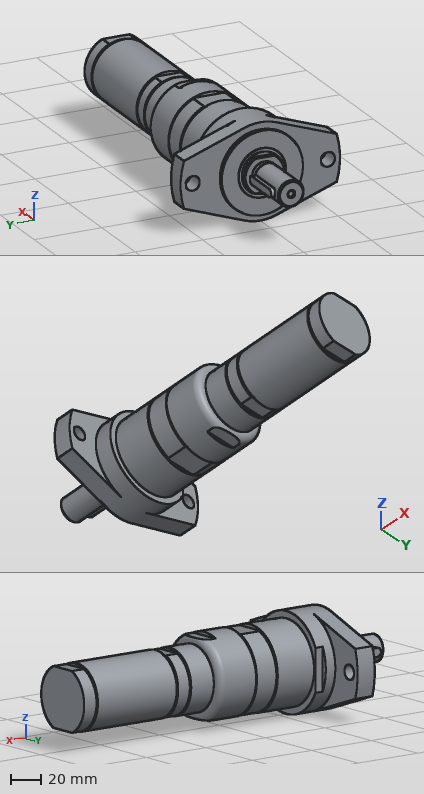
import cadquery as cq
import math

SHAFT_NECK_X = 36.0
COLLAR_X = 40.0
PILOT_X = 43.5
FLANGE_X = 46.5
FLANGE_END_X = 61.0
PORT_END_X = 69.0
HUB_END_X = 75.0
FRONT_FLAT_X = 105.5
FRONT_FLAT_END_X = 123.5
REAR_FLAT_X = 144.0
BODY_END_X = 154.0
MIDDLE_FLAT_X = 173.0
MIDDLE_FLAT_END_X = 185.0
END_FLAT_X = 251.5
TOTAL_LENGTH = 263.0

SHAFT_DIA = 19.0
SHAFT_NECK_DIA = 18.8
SHAFT_CHAMFER = 1.0
KEY_X = 5.0
KEY_LENGTH = 32.0
KEY_WIDTH = 6.0
KEY_TOP_Y = 12.5
KEY_BOTTOM_Y = 6.0
CENTRE_HOLE_DIA = 4.13
CENTRE_HOLE_DEPTH = 10.0
CENTRE_CONE_DIA = 5.5
DRILL_POINT_ANGLE = 118.0

COLLAR_DIA = 29.95
COLLAR_CHAMFER = 0.8
COLLAR_FLATS = 24.6
COLLAR_RECESS_DIA = 35.0
COLLAR_RECESS_DEPTH = 0.5

FLANGE_SPAN = 118.0
FLANGE_END_HALF_HEIGHT = 17.0
HUB_DIA = 70.0
HUB_CUT_Y = 31.5
BOLT_SPACING = 100.0
BOLT_HOLE_DIA = 10.3

BODY_DIA = 60.0
BODY_END_FILLET = 5.0
BODY_FLATS = 55.0

MOTOR_DIA = 46.5
MOTOR_FLATS = 42.0

GROOVE_WIDTH = 1.0
NARROW_GROOVE_WIDTH = 0.5
GROOVE_DEPTH = 0.25


def cylinder(x_start, x_end, diameter):
    return cq.Workplane("YZ", origin=(x_start, 0, 0)).circle(diameter / 2).extrude(x_end - x_start)


def block(x_start, x_end, y_start, y_end, z_start, z_end):
    size = (x_end - x_start, y_end - y_start, z_end - z_start)
    return cq.Workplane("XY", origin=(x_start, y_start, z_start)).box(*size, centered=False)


def cut_flats(body, x_start, x_end, across_flats, diameter):
    """Cut two opposite flats, facing +Z and -Z, over a length of a round body."""
    radius = diameter / 2
    upper = block(x_start, x_end, -radius, radius, across_flats / 2, radius)
    lower = block(x_start, x_end, -radius, radius, -radius, -across_flats / 2)
    return body.cut(upper).cut(lower)


def cut_groove(body, x_start, diameter, width=GROOVE_WIDTH):
    """Cut a shallow ring groove into a round body."""
    x_end = x_start + width
    ring = cylinder(x_start, x_end, diameter).cut(cylinder(x_start, x_end, diameter - 2 * GROOVE_DEPTH))
    return body.cut(ring)


def make_flange():
    """Two-bolt flange: a hub-sized circle joined by tangent lines to wide rounded ends."""
    hub_radius = HUB_DIA / 2
    end_radius = FLANGE_SPAN / 2
    corner_z = FLANGE_END_HALF_HEIGHT
    corner_y = math.sqrt(end_radius**2 - corner_z**2)
    tangent_angle = math.atan2(corner_z, corner_y) + math.acos(hub_radius / end_radius)
    tangent_y = hub_radius * math.cos(tangent_angle)
    tangent_z = hub_radius * math.sin(tangent_angle)
    outline = (
        cq.Workplane("YZ", origin=(FLANGE_X, 0, 0))
        .moveTo(corner_y, -corner_z)
        .threePointArc((end_radius, 0), (corner_y, corner_z))
        .lineTo(tangent_y, tangent_z)
        .threePointArc((0, hub_radius), (-tangent_y, tangent_z))
        .lineTo(-corner_y, corner_z)
        .threePointArc((-end_radius, 0), (-corner_y, -corner_z))
        .lineTo(-tangent_y, -tangent_z)
        .threePointArc((0, -hub_radius), (tangent_y, -tangent_z))
        .close()
    )
    plate = outline.extrude(FLANGE_END_X - FLANGE_X)
    bolt_holes = (
        cq.Workplane("YZ", origin=(FLANGE_X, 0, 0))
        .pushPoints([(-BOLT_SPACING / 2, 0), (BOLT_SPACING / 2, 0)])
        .circle(BOLT_HOLE_DIA / 2)
        .extrude(FLANGE_END_X - FLANGE_X)
    )
    return plate.cut(bolt_holes)


def make_hub():
    """Round hub behind the flange, stepped back to a flat on the +Y side."""
    hub = cylinder(FLANGE_END_X, HUB_END_X, HUB_DIA)
    radius = HUB_DIA / 2
    return hub.cut(block(PORT_END_X, HUB_END_X, HUB_CUT_Y, radius, -radius, radius))


def make_body():
    """Large round body with the locating pilot at its front and two pairs of flats."""
    body = cylinder(PILOT_X, BODY_END_X, BODY_DIA).faces(">X").edges().fillet(BODY_END_FILLET)
    recess = cylinder(PILOT_X, PILOT_X + COLLAR_RECESS_DEPTH, COLLAR_RECESS_DIA)
    body = body.cut(recess)
    body = cut_groove(body, FRONT_FLAT_X, BODY_DIA)
    narrow_groove_x = FRONT_FLAT_END_X - NARROW_GROOVE_WIDTH
    body = cut_groove(body, narrow_groove_x, BODY_DIA, NARROW_GROOVE_WIDTH)
    body = cut_flats(body, FRONT_FLAT_X, FRONT_FLAT_END_X, BODY_FLATS, BODY_DIA)
    return cut_flats(body, REAR_FLAT_X, BODY_END_X, BODY_FLATS, BODY_DIA)


def make_motor():
    """Rear motor housing with flats at its middle and at its end."""
    motor = cylinder(BODY_END_X, TOTAL_LENGTH, MOTOR_DIA)
    for groove_x in (MIDDLE_FLAT_X, MIDDLE_FLAT_END_X - GROOVE_WIDTH, END_FLAT_X):
        motor = cut_groove(motor, groove_x, MOTOR_DIA)
    motor = cut_flats(motor, MIDDLE_FLAT_X + GROOVE_WIDTH, MIDDLE_FLAT_END_X, MOTOR_FLATS, MOTOR_DIA)
    return cut_flats(motor, END_FLAT_X + GROOVE_WIDTH, TOTAL_LENGTH, MOTOR_FLATS, MOTOR_DIA)


def make_collar():
    collar = cylinder(COLLAR_X, PILOT_X + COLLAR_RECESS_DEPTH, COLLAR_DIA)
    collar = collar.faces("<X").edges().chamfer(COLLAR_CHAMFER)
    return cut_flats(collar, COLLAR_X, PILOT_X, COLLAR_FLATS, COLLAR_DIA)


def make_centre_hole():
    """Countersunk centre hole with a drill-point bottom, as a solid to cut away."""
    hole_radius = CENTRE_HOLE_DIA / 2
    cone_radius = CENTRE_CONE_DIA / 2
    tip_length = hole_radius / math.tan(math.radians(DRILL_POINT_ANGLE / 2))
    profile = [
        (0, 0),
        (0, cone_radius),
        (cone_radius - hole_radius, hole_radius),
        (CENTRE_HOLE_DEPTH, hole_radius),
        (CENTRE_HOLE_DEPTH + tip_length, 0),
    ]
    return cq.Workplane("XY").polyline(profile).close().revolve(360, (0, 0, 0), (1, 0, 0))


def make_shaft():
    """Output shaft with a round-ended key on its +Y side."""
    shaft = cylinder(0, SHAFT_NECK_X, SHAFT_DIA).faces("<X").edges().chamfer(SHAFT_CHAMFER)
    shaft = shaft.union(cylinder(SHAFT_NECK_X, COLLAR_X, SHAFT_NECK_DIA))
    key = (
        cq.Workplane("XZ", origin=(KEY_X + KEY_LENGTH / 2, KEY_TOP_Y, 0))
        .slot2D(KEY_LENGTH, KEY_WIDTH)
        .extrude(KEY_TOP_Y - KEY_BOTTOM_Y)
    )
    return shaft.union(key).cut(make_centre_hole())


result = make_body()
for piece in (make_flange(), make_hub(), make_motor(), make_collar(), make_shaft()):
    result = result.union(piece)